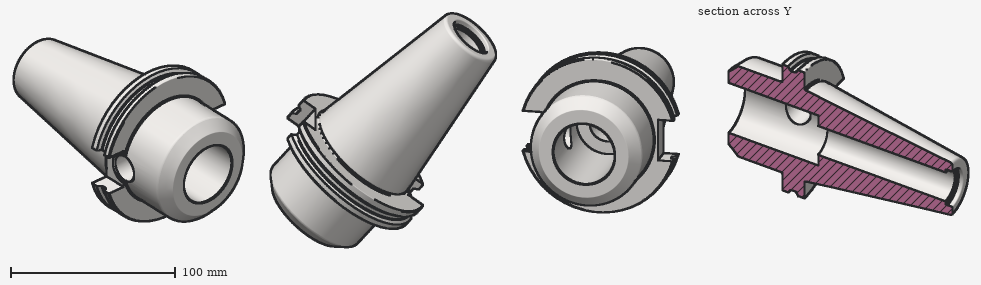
import cadquery as cq
import math

total_length = 158.8
flange_x = 104.8
flange_width = 15.9
flange_end_x = flange_x + flange_width

taper_length = 102.5
neck_radius = 70.2 / 2
taper_ratio = 7 / 24
small_end_radius = neck_radius - taper_length * taper_ratio / 2
small_end_fillet = 2.2
neck_fillet = 1.0

flange_radius = 97.3 / 2
flange_edge_fillet = 0.5
groove_depth = 2.7
groove_bottom_width = 3.7
groove_top_width = 7.0
groove_fillet = 0.6
groove_offset = 0.2
groove_center_x = flange_x + flange_width / 2 + groove_offset

nose_radius = 69.9 / 2
nose_chamfer = 7.0
nose_blend = 2.0
nose_edge_fillet = 0.6
nose_root_fillet = 0.6

through_diameter = 21.9
rear_bore_diameter = 26.7
rear_bore_depth = 5.1
rear_mouth_rounding = 0.8
rear_land_diameter = 26.2
rear_land_depth = 3.7
tool_bore_diameter = 38.1
tool_bore_mouth_diameter = 39.0
tool_bore_depth = 63.5

slot_width = 25.7
front_slot_floor = 35.1
back_slot_floor = 37.5
screw_hole_diameter = 17.3
screw_mouth_diameter = 20.0
screw_mouth_depth = 1.0
screw_hole_x = flange_end_x


def edges_at(body, x, radius):
    """Select the circular edges of the given radius lying at position x."""
    near = 0.02
    box = cq.selectors.BoxSelector(
        (x - near, -radius - near, -radius - near),
        (x + near, radius + near, radius + near),
        boundingbox=True,
    )
    inner = cq.selectors.BoxSelector(
        (x - near, -radius + near, -radius + near),
        (x + near, radius - near, radius - near),
        boundingbox=True,
    )
    return body.edges(box - inner)


def make_body():
    """Revolve the outer outline and round its edges."""
    groove_bottom = flange_radius - groove_depth
    body = (
        cq.Workplane("XY")
        .polyline([
            (0, 0),
            (0, small_end_radius),
            (taper_length, neck_radius),
            (flange_x, neck_radius),
            (flange_x, flange_radius),
            (groove_center_x - groove_top_width / 2, flange_radius),
            (groove_center_x - groove_bottom_width / 2, groove_bottom),
            (groove_center_x + groove_bottom_width / 2, groove_bottom),
            (groove_center_x + groove_top_width / 2, flange_radius),
            (flange_end_x, flange_radius),
            (flange_end_x, nose_radius),
            (total_length - nose_chamfer, nose_radius),
            (total_length, nose_radius - nose_chamfer),
            (total_length, 0),
        ])
        .close()
        .revolve(360, (0, 0, 0), (1, 0, 0))
    )
    rounded_edges = [
        (0, small_end_radius, small_end_fillet),
        (flange_x, neck_radius, neck_fillet),
        (flange_x, flange_radius, flange_edge_fillet),
        (groove_center_x - groove_bottom_width / 2, groove_bottom, groove_fillet),
        (groove_center_x + groove_bottom_width / 2, groove_bottom, groove_fillet),
        (flange_end_x, flange_radius, flange_edge_fillet),
        (flange_end_x, nose_radius, nose_root_fillet),
        (total_length - nose_chamfer, nose_radius, nose_blend),
        (total_length, nose_radius - nose_chamfer, nose_edge_fillet),
    ]
    for x, radius, fillet in rounded_edges:
        body = edges_at(body, x, radius).fillet(fillet)
    return body


def make_axial_bores():
    """Revolve the rounded rear counterbore, through bore and tool bore as one cutter."""
    through_radius = through_diameter / 2
    rear_radius = rear_bore_diameter / 2
    arc_middle = rear_mouth_rounding * (1 - math.sqrt(0.5))
    tool_radius = tool_bore_diameter / 2
    tool_mouth_radius = tool_bore_mouth_diameter / 2
    return (
        cq.Workplane("XY")
        .moveTo(0, 0)
        .lineTo(0, rear_radius + rear_mouth_rounding)
        .threePointArc(
            (arc_middle, rear_radius + arc_middle),
            (rear_mouth_rounding, rear_radius),
        )
        .polyline([
            (rear_land_depth, rear_radius),
            (rear_land_depth, rear_land_diameter / 2),
            (rear_bore_depth, rear_land_diameter / 2),
            (rear_bore_depth, through_radius),
            (total_length - tool_bore_depth, through_radius),
            (total_length - tool_bore_depth, tool_radius),
            (total_length - (tool_mouth_radius - tool_radius), tool_radius),
            (total_length, tool_mouth_radius),
            (total_length, 0),
        ], includeCurrent=True)
        .close()
        .revolve(360, (0, 0, 0), (1, 0, 0))
    )


def make_slot(side, floor):
    """Drive slot through the flange, on the -Y (side = -1) or +Y (side = 1) side."""
    depth = flange_radius - floor
    return (
        cq.Workplane("XY")
        .box(flange_width, depth, slot_width, centered=(False, True, True))
        .translate((flange_x, side * (floor + depth / 2), 0))
    )


def make_screw_hole():
    """Radial hole from the -Y side into the tool bore, with a chamfered mouth."""
    hole_radius = screw_hole_diameter / 2
    mouth_radius = screw_mouth_diameter / 2
    return (
        cq.Workplane("XY")
        .polyline([
            (0, 0),
            (hole_radius, 0),
            (hole_radius, -front_slot_floor + screw_mouth_depth),
            (mouth_radius, -front_slot_floor),
            (mouth_radius, -flange_radius),
            (0, -flange_radius),
        ])
        .close()
        .revolve(360, (0, 0, 0), (0, 1, 0))
        .translate((screw_hole_x, 0, 0))
    )


result = (
    make_body()
    .cut(make_axial_bores())
    .cut(make_slot(-1, front_slot_floor))
    .cut(make_slot(1, back_slot_floor))
    .cut(make_screw_hole())
)